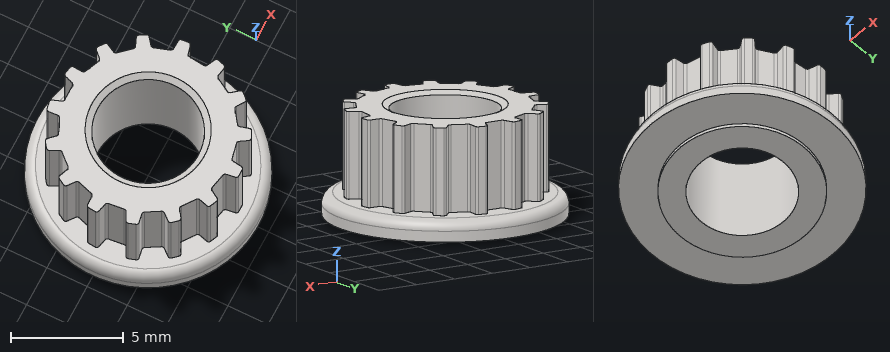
import cadquery as cq
import math

hub_height = 0.2
flange_thickness = 1.0
teeth_length = 4.0

flange_diameter = 11.0
hub_diameter = 7.5
bore_diameter = 5.0

flange_edge_radius = 0.5
bore_chamfer_width = 0.3
bore_chamfer_depth = 0.18

tooth_count = 15
tip_diameter = 9.2
groove_floor_distance = 3.96
groove_floor_width = 0.94
groove_wall_angle = 20.0
groove_root_radius = 0.13
tooth_tip_radius = 0.12

flange_top = hub_height + flange_thickness
total_height = flange_top + teeth_length
tooth_pitch_angle = 360.0 / tooth_count
first_groove_angle = 90.0


def polar(radius, angle):
    """Point at a radius and an angle in degrees."""
    return (radius * math.cos(math.radians(angle)), radius * math.sin(math.radians(angle)))


def groove_wall_at_tip():
    """Angle in degrees from a groove's centre line to where its wall meets the tip circle."""
    wall = math.radians(groove_wall_angle)
    wall_offset = groove_floor_width / 2 * math.cos(wall) - groove_floor_distance * math.sin(wall)
    return math.degrees(wall + math.asin(wall_offset / (tip_diameter / 2)))


def make_toothed_rim():
    """Extruded tooth profile with rounded tooth tips and groove roots."""
    tip_radius = tip_diameter / 2
    floor_corner_radius = math.hypot(groove_floor_distance, groove_floor_width / 2)
    floor_corner_angle = math.degrees(math.atan2(groove_floor_width / 2, groove_floor_distance))
    tip_corner_angle = groove_wall_at_tip()

    profile = cq.Workplane("XY").workplane(offset=flange_top)
    profile = profile.moveTo(*polar(tip_radius, first_groove_angle - tip_corner_angle))
    for index in range(tooth_count):
        groove = first_groove_angle + index * tooth_pitch_angle
        next_groove = groove + tooth_pitch_angle
        root_start = polar(floor_corner_radius, groove - floor_corner_angle)
        root_end = polar(floor_corner_radius, groove + floor_corner_angle)
        tip_start = polar(tip_radius, groove + tip_corner_angle)
        tip_middle = polar(tip_radius, groove + tooth_pitch_angle / 2)
        tip_end = polar(tip_radius, next_groove - tip_corner_angle)
        profile = profile.lineTo(*root_start).lineTo(*root_end).lineTo(*tip_start)
        profile = profile.threePointArc(tip_middle, tip_end)
    rim = profile.close().extrude(teeth_length)

    split_radius = (tip_radius + floor_corner_radius) / 2
    tip_edges = []
    root_edges = []
    for edge in rim.edges("|Z").vals():
        middle = edge.Center()
        is_tip = math.hypot(middle.x, middle.y) > split_radius
        (tip_edges if is_tip else root_edges).append(edge)
    rim = rim.newObject(tip_edges).fillet(tooth_tip_radius)
    return rim.newObject(root_edges).fillet(groove_root_radius)


def make_flange():
    """Round flange with a rounded upper rim."""
    disc = cq.Workplane("XY").workplane(offset=hub_height).circle(flange_diameter / 2)
    return disc.extrude(flange_thickness).faces(">Z").edges().fillet(flange_edge_radius)


def make_hub():
    """Shallow round step below the flange."""
    return cq.Workplane("XY").circle(hub_diameter / 2).extrude(hub_height)


def make_bore():
    """Through bore, widened by a chamfer at the toothed end."""
    bore_radius = bore_diameter / 2
    half_section = [
        (0, 0),
        (bore_radius, 0),
        (bore_radius, total_height - bore_chamfer_depth),
        (bore_radius + bore_chamfer_width, total_height),
        (0, total_height),
    ]
    return cq.Workplane("XZ").polyline(half_section).close().revolve(360, (0, 0), (0, 1))


result = make_hub().union(make_flange()).union(make_toothed_rim()).cut(make_bore())